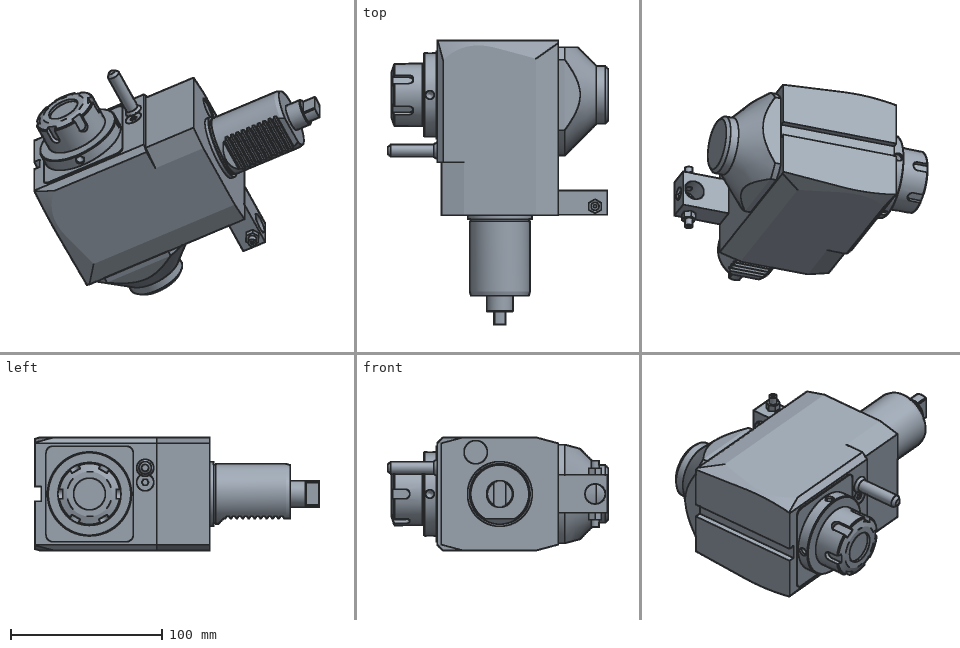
import cadquery as cq
import math


body_half_width = 38.7
body_half_height = 37.5
body_length = 115.8
facet_start = 23.9
facet_angle = 15
facet_drop = (body_half_width - facet_start) * math.tan(math.radians(facet_angle))
pad_left = -41.5
pad_start_y = 35.2
pad_chamfer = 4.0
end_slot_width = 9.5
end_slot_depth = 4.1

crown_peak_x = -14.7
crown_peak_y = body_length - 3.4
crown_left_radius = 31.5
crown_right_radius = 45.1
crown_left_sweep = 65
crown_right_sweep = 15
crown_tail_length = 56.4
crown_slope = 16
crown_depth = 5.6

plug_x = -16.0
plug_z = 27.6
plug_radius = 7.7
plug_recess = 1.1

spindle_y = 79.7
plate_height = 63.2
plate_y_min = 50.8
plate_y_max = 108.5
plate_corner_radius = 4.5
plate_face = -42.1
flange_radius = 27.8
flange_face = -50.2
flange_chamfer = 0.5
flange_hole_x = -46.2
flange_hole_radius = 2.8
flange_hole_depth = 1.9
neck_radius = 16.5
nut_back = -51.3
nut_face = -71.8
nut_radius = 20.9
nut_shoulder_x = -69.4
nut_cone_x = -70.1
nut_cone_radius = 20.1
nut_face_radius = 14.9
nut_bore_radius = 10.5
nut_bore_depth = 1.9
nut_slot_count = 6
nut_slot_width = 6.4
nut_slot_end = -59.6
nut_upper_slot_end = -57.2
nut_slot_floor = 17.7

pin_y = 42.9
pin_z = 17.3
pin_radius = 4.1
pin_tip = -74.3
pin_tip_radius = 2.3
pin_tip_length = 2.3
collar_radius = 5.6
collar_length = 2.3
screw_z = 7.7
screw_radius = 5.6
screw_recess = 0.2
screw_socket_diameter = 4.5
screw_socket_depth = 1.0

cap_radius = 40.2
cap_rim_end = 42.9
nub_radius = 19.2
nub_start = cap_rim_end + cap_radius - nub_radius
nub_end = 71.8
nub_chamfer = 2.3
cap_half_height = 32.7
cap_top_y = 111.3

arm_end = 71.0
arm_y_min = 0.4
arm_y_max = 16.5
arm_half_height = 12.6
arm_hole_x = 63.0
arm_hole_diameter = 13.3
arm_end_bore_diameter = 8.6
stud_y = 6.0
stud_radius = 2.6
stud_top = 22.0
stud_foot = 6.4
stud_socket_diameter = 2.3
stud_socket_depth = 1.9
hex_nut_flats = 8.0
hex_nut_top = 17.0

shank_radius = 40.0 / 2
shank_length = 53.2
shank_collar_radius = 21.5
shank_collar_length = 2.5
relief_radius = 19.4
relief_end = 4.0
shank_tip_length = 2.8
shank_tip_radius = 19.2
rack_depth_z = -16.4
rack_start_y = -5.3
tooth_count = 10
tooth_pitch = 4.0
first_gap_y = -11.8
gap_depth = 1.5
gap_mouth = 3.5
gap_floor = 1.5
tang_radius = 8.8
tang_shoulder = 63.7
tang_tip = 72.2
tang_width = 8.0
tang_chamfer = 0.5


def box(x_min, x_max, y_min, y_max, z_min, z_max):
    size = (x_max - x_min, y_max - y_min, z_max - z_min)
    return cq.Workplane("XY").box(*size, centered=False).translate((x_min, y_min, z_min))


def mirror_z(points):
    return points + [(a, -b) for a, b in reversed(points)]


def rod_x(x_min, x_max, radius, y, z):
    return cq.Workplane("YZ", origin=(x_min, y, z)).circle(radius).extrude(x_max - x_min)


def turned_x(profile, y, z=0):
    """Revolve (x, radius) points about an axis along X through (y, z)."""
    turned = cq.Workplane("XY").polyline(profile).close().revolve(360, (0, 0, 0), (1, 0, 0))
    return turned.translate((0, y, z))


def extrude_along_y(points, y_min, y_max):
    section = cq.Workplane("XZ", origin=(0, y_max, 0)).polyline(points).close()
    return section.extrude(y_max - y_min)


def crown_envelope():
    """Upper half of the crowned end; everything outside it is trimmed off the housing."""
    def arc_point(radius, sweep):
        angle = math.radians(sweep)
        return (
            crown_peak_x + radius * math.sin(angle),
            crown_peak_y - radius * (1 - math.cos(angle)),
        )

    left_end = arc_point(crown_left_radius, -crown_left_sweep)
    left_middle = arc_point(crown_left_radius, -crown_left_sweep / 2)
    right_middle = arc_point(crown_right_radius, crown_right_sweep / 2)
    right_end = arc_point(crown_right_radius, crown_right_sweep)
    tail_angle = math.radians(crown_right_sweep)
    tail_end = (
        right_end[0] + crown_tail_length * math.cos(tail_angle),
        right_end[1] - crown_tail_length * math.sin(tail_angle),
    )
    outline = (
        cq.Workplane("XY", origin=(0, 0, body_half_height))
        .moveTo(*left_end)
        .threePointArc(left_middle, (crown_peak_x, crown_peak_y))
        .threePointArc(right_middle, right_end)
        .lineTo(*tail_end)
        .lineTo(tail_end[0], -body_length)
        .lineTo(left_end[0], -body_length)
        .close()
    )
    sloped = outline.extrude(-crown_depth, taper=crown_slope - 90)
    reach = 2 * body_length
    core_top = body_half_height - crown_depth
    return sloped.union(box(-reach, reach, -reach, reach, -1.9, core_top))


def make_housing():
    facet_z = body_half_height - facet_drop
    right_edge = [(facet_start, body_half_height), (body_half_width, facet_z)]
    left_edge = [(-body_half_width, facet_z), (-facet_start, body_half_height)]
    pad_edge = [
        (pad_left, body_half_height - pad_chamfer),
        (pad_left + pad_chamfer, body_half_height),
    ]
    lower = extrude_along_y(mirror_z(left_edge + right_edge), 0, pad_start_y)
    upper = extrude_along_y(mirror_z(pad_edge + right_edge), pad_start_y, body_length)
    crown = crown_envelope()
    housing = lower.union(upper).intersect(crown.union(crown.mirror("XY")))
    end_slot = box(
        pad_left, body_half_width,
        body_length - end_slot_depth, body_length,
        -end_slot_width / 2, end_slot_width / 2,
    )
    plug_seat = cq.Workplane("XZ", origin=(plug_x, 0, plug_z)).circle(plug_radius).extrude(-plug_recess)
    return housing.cut(end_slot).cut(plug_seat)


def make_spindle():
    plate = (
        box(plate_face, pad_left, plate_y_min, plate_y_max, -plate_height / 2, plate_height / 2)
        .edges("|X").fillet(plate_corner_radius)
    )
    flange = turned_x([
        (pad_left, 0),
        (pad_left, flange_radius),
        (flange_face + flange_chamfer, flange_radius),
        (flange_face, flange_radius - flange_chamfer),
        (flange_face, neck_radius),
        (nut_back, neck_radius),
        (nut_back, 0),
    ], spindle_y)
    hole_rim = flange_radius - flange_hole_depth
    hole = (
        cq.Workplane("XZ")
        .polyline([
            (0, hole_rim - flange_hole_radius),
            (flange_hole_radius, hole_rim),
            (flange_hole_radius, flange_radius),
            (0, flange_radius),
        ])
        .close()
        .revolve(360, (0, 0, 0), (0, 1, 0))
        .translate((flange_hole_x, spindle_y, 0))
    )
    for quarter in range(4):
        flange = flange.cut(turn_about_spindle(hole, 90 * quarter))
    return plate.union(flange).union(make_collet_nut())


def turn_about_spindle(shape, angle):
    return shape.rotate((0, spindle_y, 0), (1, spindle_y, 0), angle)


def make_collet_nut():
    nut = turned_x([
        (nut_back, 0),
        (nut_back, nut_radius),
        (nut_shoulder_x, nut_radius),
        (nut_cone_x, nut_cone_radius),
        (nut_face, nut_face_radius),
        (nut_face, nut_bore_radius),
        (nut_face + nut_bore_depth, nut_bore_radius),
        (nut_face + nut_bore_depth, 0),
    ], spindle_y)
    for index in range(nut_slot_count):
        angle = index * 360 / nut_slot_count
        is_upper = 0 < angle < 180
        slot = nut_slot(nut_upper_slot_end if is_upper else nut_slot_end)
        nut = nut.cut(turn_about_spindle(slot, angle))
    return nut


def nut_slot(slot_end):
    """Spanner slot on the +Y side of the nut, open at the front face and ending in a half round."""
    half_width = nut_slot_width / 2
    straight_end = slot_end - half_width
    return (
        cq.Workplane("XZ", origin=(0, spindle_y + nut_slot_floor, 0))
        .moveTo(nut_face, half_width)
        .lineTo(straight_end, half_width)
        .threePointArc((slot_end, 0), (straight_end, -half_width))
        .lineTo(nut_face, -half_width)
        .close()
        .extrude(-nut_radius)
    )


def make_coolant_pin():
    return turned_x([
        (pad_left, 0),
        (pad_left, collar_radius),
        (pad_left - collar_length, pin_radius),
        (pin_tip + pin_tip_length, pin_radius),
        (pin_tip, pin_tip_radius),
        (pin_tip, 0),
    ], pin_y, pin_z)


def screw_pocket():
    seat_floor = pad_left + screw_recess
    seat = rod_x(pad_left, seat_floor, screw_radius, pin_y, screw_z)
    socket = (
        cq.Workplane("YZ", origin=(seat_floor, pin_y, screw_z))
        .polygon(6, screw_socket_diameter).extrude(screw_socket_depth)
    )
    return seat.union(socket)


def make_cap():
    cap = turned_x([
        (body_half_width, 0),
        (body_half_width, cap_radius),
        (cap_rim_end, cap_radius),
        (nub_start, nub_radius),
        (nub_end - nub_chamfer, nub_radius),
        (nub_end, nub_radius - nub_chamfer),
        (nub_end, 0),
    ], spindle_y)
    slope_drop = (nub_end - cap_rim_end) * math.tan(math.radians(facet_angle))
    limits = mirror_z([
        (body_half_width, cap_half_height),
        (cap_rim_end, cap_half_height),
        (nub_end, cap_half_height - slope_drop),
    ])
    return cap.intersect(extrude_along_y(limits, spindle_y - cap_radius, cap_top_y))


def make_arm():
    arm = box(body_half_width, arm_end, arm_y_min, arm_y_max, -arm_half_height, arm_half_height)
    hole = (
        cq.Workplane("XZ", origin=(arm_hole_x, arm_y_max, 0))
        .circle(arm_hole_diameter / 2).extrude(arm_y_max - arm_y_min)
    )
    end_bore = rod_x(
        arm_hole_x, arm_end, arm_end_bore_diameter / 2, (arm_y_min + arm_y_max) / 2, 0
    )
    arm = arm.cut(hole).cut(end_bore)
    hex_nut = (
        cq.Workplane("XY", origin=(arm_hole_x, stud_y, arm_half_height))
        .polygon(6, hex_nut_flats, circumscribed=True)
        .extrude(hex_nut_top - arm_half_height)
    )
    stud = (
        cq.Workplane("XY", origin=(arm_hole_x, stud_y, stud_foot))
        .circle(stud_radius).extrude(stud_top - stud_foot)
        .faces(">Z").workplane().polygon(6, stud_socket_diameter).cutBlind(-stud_socket_depth)
    )
    screw = hex_nut.union(stud)
    return arm.union(screw).union(screw.mirror("XY"))


def make_shank():
    shank = (
        cq.Workplane("XY")
        .polyline([
            (0, 0),
            (shank_collar_radius, 0),
            (shank_collar_radius, -shank_collar_length),
            (relief_radius, -shank_collar_length),
            (relief_radius, -relief_end),
            (shank_radius, -relief_end),
            (shank_radius, shank_tip_length - shank_length),
            (shank_tip_radius, -shank_length),
            (0, -shank_length),
        ])
        .close()
        .revolve(360, (0, 0, 0), (0, 1, 0))
    )
    return shank.cut(rack_cut()).union(make_tang())


def rack_cut():
    """Flat along the underside of the shank with the tooth gaps cut into it."""
    def prism(points):
        return cq.Workplane("YZ").polyline(points).close().extrude(shank_radius, both=True)

    ramp = shank_radius + rack_depth_z
    cut = prism([
        (rack_start_y, -shank_radius),
        (rack_start_y - ramp, rack_depth_z),
        (-shank_length, rack_depth_z),
        (-shank_length, -shank_radius),
    ])
    for index in range(tooth_count):
        y = first_gap_y - index * tooth_pitch
        cut = cut.union(prism([
            (y - gap_mouth / 2, rack_depth_z),
            (y - gap_floor / 2, rack_depth_z + gap_depth),
            (y + gap_floor / 2, rack_depth_z + gap_depth),
            (y + gap_mouth / 2, rack_depth_z),
        ]))
    return cut


def make_tang():
    def rod(y_start, y_end):
        return cq.Workplane("XZ", origin=(0, -y_start, 0)).circle(tang_radius).extrude(y_end - y_start)

    journal = rod(shank_length, tang_shoulder).faces("<Y").chamfer(tang_chamfer)
    half_width = tang_width / 2
    blade = rod(tang_shoulder, tang_tip).intersect(
        box(-half_width, half_width, -tang_tip, -tang_shoulder, -tang_radius, tang_radius)
    ).edges("|Y").chamfer(tang_chamfer)
    return journal.union(blade)


result = (
    make_housing()
    .cut(screw_pocket())
    .union(make_spindle())
    .union(make_coolant_pin())
    .union(make_cap())
    .union(make_arm())
    .union(make_shank())
)